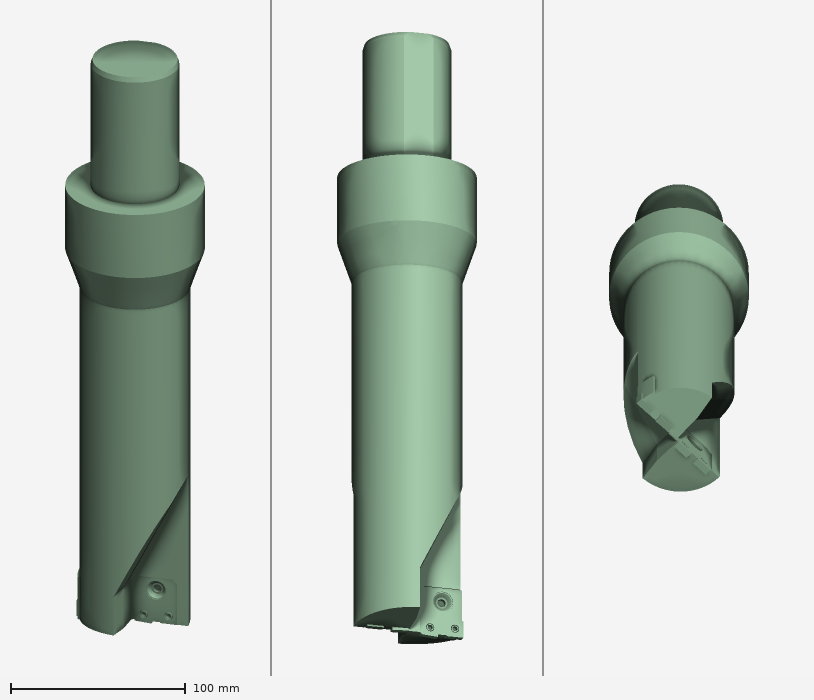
import cadquery as cq
import math

TOTAL_LENGTH = 357.0
SHANK_DIAMETER = 50.79
SHANK_LENGTH = 80.0
SHANK_LEAD_RADIAL = 1.0
SHANK_LEAD_AXIAL = 3.0
SHANK_FLAT_Y = 23.8
SHANK_FLAT_GAP = 4.0

COLLAR_DIAMETER = 80.0
COLLAR_LENGTH = 40.0
TAPER_LENGTH = 24.0
BODY_RADIUS = 31.75
TIP_RIDGE_Z = 1.5
TIP_RISE = 3.7

FLUTE_BOTTOM_Z = 31.0
FLUTE_REFERENCE_Z = 50.0
FLUTE_TOP_Z = 229.5
FLUTE_TOP_SLOPE = 14.5
FLUTE_TOP_TURN = -36.0
FLUTE_TWIST_RATE = 0.303
FLUTE_END_RADIUS = 7.0
FLUTE_TOP_RADIUS = 4.5
FLUTE_HEEL_OUTER = (50.0, 6.0)
FLUTE_HEEL_INNER = (13.4, 2.9)
FLUTE_ROOT = (5.7, -9.0)
FLUTE_FACET_INNER = (11.0, -18.2)
FLUTE_FACET_OUTER = (48.0, -58.5)

POCKET_FLOOR_Y = -0.8
CENTRAL_WALL_X = -1.9
PERIPHERAL_WALL_X = 0.5
POCKET_STRAIGHT_Z = 29.6
POCKET_RUNOUT_SLOPE = 2.0
POCKET_BEND_Y = -17.7
POCKET_FLARE = 2.1

CASSETTE_SIZE_X = 26.6
CASSETTE_SIZE_Z = 29.8
CASSETTE_CHAMFER = 3.0
CASSETTE_THICKNESS = 11.3
CENTRAL_CASSETTE_X = -1.3
PERIPHERAL_CASSETTE_X = 7.5
PERIPHERAL_RADIUS = 33.0

CLAMP_RECESS_DIAMETER = 12.2
CLAMP_RECESS_DEPTH = 0.5
CLAMP_SCREW_DIAMETER = 11.0
CLAMP_SCREW_SEAT_DIAMETER = 7.0
CLAMP_SCREW_SEAT_DEPTH = 2.0
CLAMP_SOCKET_DIAMETER = 4.8
CLAMP_SOCKET_DEPTH = 5.0
CLAMP_SCREW_OFFSET_X = 13.9
CLAMP_SCREW_Z = 21.6

INSERT_SIZE = 10.0
INSERT_THICKNESS = 4.0
INSERT_HOLE_DIAMETER = 4.8
INSERT_SCREW_DIAMETER = 4.0
INSERT_SOCKET_DIAMETER = 3.0
INSERT_SOCKET_DEPTH = 2.5
INNER_INSERT_OFFSET_X = 6.4
INNER_INSERT_TILT = 4.0
OUTER_INSERT_OFFSET_X = 21.2
OUTER_INSERT_Z = 6.0

SHANK_RADIUS = SHANK_DIAMETER / 2
COLLAR_RADIUS = COLLAR_DIAMETER / 2
COLLAR_TOP_Z = TOTAL_LENGTH - SHANK_LENGTH
COLLAR_BOTTOM_Z = COLLAR_TOP_Z - COLLAR_LENGTH
TAPER_BOTTOM_Z = COLLAR_BOTTOM_Z - TAPER_LENGTH
CLEAR = 100.0
OVERLAP = 1.0

TILT = math.radians(INNER_INSERT_TILT)
INNER_INSERT_Z = INSERT_SIZE / 2 * (math.cos(TILT) + math.sin(TILT))
INSERT_PLACES = [
    (INNER_INSERT_OFFSET_X, INNER_INSERT_Z, INNER_INSERT_TILT),
    (OUTER_INSERT_OFFSET_X, OUTER_INSERT_Z, 0.0),
]
PERIPHERAL_TURN = 180.0
CUTTING_SIDES = [
    (0.0, CENTRAL_WALL_X, CENTRAL_CASSETTE_X),
    (PERIPHERAL_TURN, PERIPHERAL_WALL_X, PERIPHERAL_CASSETTE_X),
]


def turn(shape, angle):
    """Turn a shape about the tool axis."""
    return shape.rotate((0, 0, 0), (0, 0, 1), angle)


def face_plane(y):
    """Plane parallel to XZ whose extrusions run toward +Y and whose local axes are -X, Z."""
    return cq.Plane(origin=(0, y, 0), xDir=(-1, 0, 0), normal=(0, 1, 0))


def disk(x, y, z, diameter, depth):
    """Cylinder that starts at height y of a cutting face and runs in toward +Y."""
    return cq.Workplane(face_plane(y)).center(-x, z).circle(diameter / 2).extrude(depth)


def make_blank():
    """Turned drill body, taper, collar and shank with a clamping flat."""
    blank = (
        cq.Workplane("XZ")
        .polyline([
            (0, 0),
            (BODY_RADIUS, 0),
            (BODY_RADIUS, TAPER_BOTTOM_Z),
            (COLLAR_RADIUS, COLLAR_BOTTOM_Z),
            (COLLAR_RADIUS, COLLAR_TOP_Z),
            (SHANK_RADIUS, COLLAR_TOP_Z),
            (SHANK_RADIUS, TOTAL_LENGTH - SHANK_LEAD_AXIAL),
            (SHANK_RADIUS - SHANK_LEAD_RADIAL, TOTAL_LENGTH),
            (0, TOTAL_LENGTH),
        ])
        .close()
        .revolve(360, (0, 0, 0), (0, 1, 0))
    )
    flat = (
        cq.Workplane("XY", origin=(0, SHANK_FLAT_Y, COLLAR_TOP_Z + SHANK_FLAT_GAP))
        .box(CLEAR, CLEAR, CLEAR, centered=(True, False, False))
    )
    return blank.cut(flat)


def make_tip_relief():
    """Wedge-shaped stock removed below the tip, leaving a ridge along X."""
    return (
        cq.Workplane("YZ", origin=(-CLEAR / 2, 0, 0))
        .polyline([
            (-BODY_RADIUS, -OVERLAP),
            (BODY_RADIUS, -OVERLAP),
            (BODY_RADIUS, TIP_RIDGE_Z + TIP_RISE),
            (0, TIP_RIDGE_Z),
            (-BODY_RADIUS, TIP_RIDGE_Z + TIP_RISE),
        ])
        .close()
        .extrude(CLEAR)
    )


def make_flute():
    """Helical chip flute on the +X side, closed by a sloped end at the collar."""
    height = COLLAR_TOP_Z - FLUTE_BOTTOM_Z
    start_turn = FLUTE_TWIST_RATE * (FLUTE_BOTTOM_Z - FLUTE_REFERENCE_Z)
    flute = (
        cq.Workplane("XY")
        .moveTo(*FLUTE_HEEL_OUTER)
        .lineTo(*FLUTE_HEEL_INNER)
        .threePointArc(FLUTE_ROOT, FLUTE_FACET_INNER)
        .lineTo(*FLUTE_FACET_OUTER)
        .close()
        .twistExtrude(height, FLUTE_TWIST_RATE * height)
    )
    flute = turn(flute.translate((0, 0, FLUTE_BOTTOM_Z)), start_turn)
    end_stop = (
        cq.Workplane("XY")
        .box(2 * CLEAR, 2 * CLEAR, CLEAR, centered=(True, True, False))
        .rotate((0, 0, 0), (1, 0, 0), FLUTE_TOP_SLOPE)
        .rotate((0, 0, 0), (0, 0, 1), FLUTE_TOP_TURN)
        .translate((0, 0, FLUTE_TOP_Z))
    )
    flute = flute.cut(end_stop)
    flute = flute.faces("<Z").edges("not >X").fillet(FLUTE_END_RADIUS)
    return flute.faces(">Z").edges("not >(1, 1, 0)").fillet(FLUTE_TOP_RADIUS)


def make_pocket(wall_x):
    """Open chip pocket in the +X, -Y quarter with a flared and sloping side wall."""
    runout_x = BODY_RADIUS + POCKET_FLARE
    runout_z = POCKET_STRAIGHT_Z + POCKET_RUNOUT_SLOPE * (runout_x - wall_x)

    def side_outline(y, shift):
        points = [
            (wall_x - shift, -CLEAR),
            (wall_x - shift, POCKET_STRAIGHT_Z),
            (runout_x - shift, runout_z),
            (runout_x - shift, -CLEAR),
        ]
        return cq.Wire.makePolygon([cq.Vector(x, y, z) for x, z in points], close=True)

    inner_depth = cq.Vector(0, POCKET_BEND_Y - POCKET_FLOOR_Y, 0)
    inner = cq.Workplane(cq.Solid.extrudeLinear(side_outline(POCKET_FLOOR_Y, 0), [], inner_depth))
    bend = side_outline(POCKET_BEND_Y, 0)
    rim = side_outline(-BODY_RADIUS, POCKET_FLARE)
    flared = cq.Solid.makeLoft([bend, rim], True)
    return inner.union(cq.Workplane(flared))


def make_cassette_recess(left_x):
    """Shallow cassette recess, with the clamping screw sunk into its face."""
    depth = -POCKET_FLOOR_Y
    recess = (
        cq.Workplane(face_plane(POCKET_FLOOR_Y))
        .rect(CASSETTE_SIZE_X, 2 * CASSETTE_SIZE_Z)
        .extrude(depth)
        .edges("|Y and >Z")
        .chamfer(CASSETTE_CHAMFER)
        .translate((left_x + CASSETTE_SIZE_X / 2, 0, 0))
    )
    screw_x = left_x + CLAMP_SCREW_OFFSET_X
    screw_recess = disk(screw_x, 0, CLAMP_SCREW_Z, CLAMP_RECESS_DIAMETER, CLAMP_RECESS_DEPTH)
    cone = cq.Solid.makeCone(
        CLAMP_SCREW_DIAMETER / 2,
        CLAMP_SCREW_SEAT_DIAMETER / 2,
        CLAMP_SCREW_SEAT_DEPTH,
        cq.Vector(screw_x, CLAMP_RECESS_DEPTH, CLAMP_SCREW_Z),
        cq.Vector(0, 1, 0),
    )
    socket = disk(screw_x, 0, CLAMP_SCREW_Z, CLAMP_SOCKET_DIAMETER, CLAMP_SOCKET_DEPTH)
    return recess.union(screw_recess).union(cq.Workplane(cone)).union(socket)


def make_peripheral_edge():
    """Outer end of the peripheral cassette, standing proud of the body."""
    height = POCKET_STRAIGHT_Z - TIP_RIDGE_Z
    block = cq.Workplane("XY", origin=(PERIPHERAL_CASSETTE_X, 0, TIP_RIDGE_Z)).box(
        PERIPHERAL_RADIUS, CASSETTE_THICKNESS, height, centered=False
    )
    return block.intersect(cq.Workplane("XY").circle(PERIPHERAL_RADIUS).extrude(POCKET_STRAIGHT_Z))


def make_insert_seat(x, z, tilt):
    """Square block filled by one insert and its screw."""
    block = cq.Workplane(face_plane(0)).rect(INSERT_SIZE, INSERT_SIZE).extrude(INSERT_THICKNESS)
    return block.rotate((0, 0, 0), (0, 1, 0), tilt).translate((x, 0, z))


def make_insert(x, z, tilt):
    """Square cutting insert with a central screw hole."""
    return make_insert_seat(x, z, tilt).cut(disk(x, 0, z, INSERT_HOLE_DIAMETER, INSERT_THICKNESS))


def make_insert_screw(x, z):
    """Insert screw standing on the bottom of its seat, with a driving socket."""
    screw = disk(x, 0, z, INSERT_SCREW_DIAMETER, INSERT_THICKNESS + OVERLAP)
    return screw.cut(disk(x, 0, z, INSERT_SOCKET_DIAMETER, INSERT_SOCKET_DEPTH))


drill_body = make_blank()
flute = make_flute()
for angle, wall_x, _ in CUTTING_SIDES:
    drill_body = drill_body.cut(turn(flute, angle))
    drill_body = drill_body.cut(turn(make_pocket(wall_x), angle))
drill_body = drill_body.union(turn(make_peripheral_edge(), PERIPHERAL_TURN))
drill_body = drill_body.cut(make_tip_relief())

inserts = []
for angle, _, left_x in CUTTING_SIDES:
    drill_body = drill_body.cut(turn(make_cassette_recess(left_x), angle))
    for offset_x, insert_z, tilt in INSERT_PLACES:
        insert_x = left_x + offset_x
        seat = make_insert_seat(insert_x, insert_z, tilt)
        screw = make_insert_screw(insert_x, insert_z)
        drill_body = drill_body.cut(turn(seat, angle)).union(turn(screw, angle))
        inserts.append(turn(make_insert(insert_x, insert_z, tilt), angle).val())

result = cq.Compound.makeCompound([drill_body.val(), *inserts])